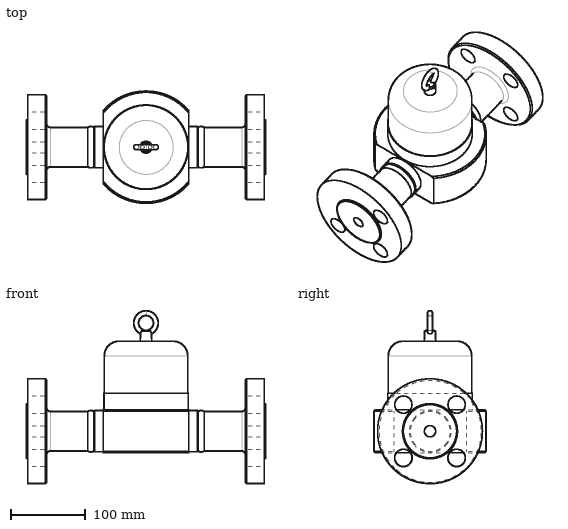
import cadquery as cq

length = 320.0
half_length = length / 2

flange_diameter = 140.0
flange_thickness = 25.5
flange_chamfer = 2.0
raised_face_height = 2.0
raised_face_diameter = 73.5
raised_face_chamfer = 1.3
bolt_hole_diameter = 23.0
bolt_hole_offset = 35.5
bore_diameter = 15.0

pipe_diameter = 53.0
pipe_root_fillet = 4.8
neck_diameter = 55.5
bead_length = 7.7
bead_rise = 1.3
neck_start = 68.5
groove_width = 1.3

body_diameter = 150.0
body_height = 57.5
body_flat_width = 114.5
body_chamfer = 2.0

collar_diameter = 113.0
collar_top = 51.0
cap_diameter = 111.7
cap_top = 120.3
cap_fillet = 20.0

post_base_diameter = 15.7
post_top_diameter = 14.7
post_top = 135.0
post_chamfer = 2.0
ring_outer_diameter = 33.0
ring_wire_diameter = 6.7
ring_top = 161.0


def upright_cylinder(diameter, bottom, top):
    return cq.Workplane("XY").workplane(offset=bottom).circle(diameter / 2).extrude(top - bottom)


def make_body():
    disc = upright_cylinder(body_diameter, -body_height / 2, body_height / 2).faces("|Z").chamfer(body_chamfer)
    flats = cq.Workplane("XY").box(body_flat_width, body_diameter, body_height)
    return disc.intersect(flats)


def make_cap():
    collar = upright_cylinder(collar_diameter, 0, collar_top)
    dome = upright_cylinder(cap_diameter, 0, cap_top).faces(">Z").edges().fillet(cap_fillet)
    return collar.union(dome)


def make_lifting_eye():
    base_radius = post_base_diameter / 2
    top_radius = post_top_diameter / 2
    post = (
        cq.Workplane("XZ")
        .moveTo(0, 0)
        .lineTo(base_radius, 0)
        .lineTo(base_radius, cap_top)
        .lineTo(top_radius, post_top - post_chamfer)
        .lineTo(top_radius - post_chamfer, post_top)
        .lineTo(0, post_top)
        .close()
        .revolve(360, (0, 0, 0), (0, 1, 0))
    )
    ring_radius = (ring_outer_diameter - ring_wire_diameter) / 2
    ring_center = ring_top - ring_outer_diameter / 2
    ring = cq.Solid.makeTorus(
        ring_radius, ring_wire_diameter / 2, cq.Vector(0, 0, ring_center), cq.Vector(0, 1, 0)
    )
    return post.union(cq.Workplane(ring))


def make_end():
    """Pipe stub and flange on the -X side, revolved about the X axis."""
    pipe_radius = pipe_diameter / 2
    neck_radius = neck_diameter / 2
    flange_radius = flange_diameter / 2
    face_radius = raised_face_diameter / 2
    flange_front = -half_length + raised_face_height
    flange_back = flange_front + flange_thickness
    bead_end = -neck_start - groove_width
    bead_start = bead_end - bead_length
    profile = (
        cq.Workplane("XY")
        .moveTo(-half_length, 0)
        .lineTo(-half_length, face_radius - raised_face_chamfer)
        .lineTo(-half_length + raised_face_chamfer, face_radius)
        .lineTo(flange_front, face_radius)
        .lineTo(flange_front, flange_radius)
        .lineTo(flange_back - flange_chamfer, flange_radius)
        .lineTo(flange_back, flange_radius - flange_chamfer)
        .lineTo(flange_back, pipe_radius + pipe_root_fillet)
        .radiusArc((flange_back + pipe_root_fillet, pipe_radius), -pipe_root_fillet)
        .lineTo(bead_start, pipe_radius)
        .threePointArc((bead_start + bead_length / 2, pipe_radius + bead_rise), (bead_end, pipe_radius))
        .lineTo(-neck_start, pipe_radius)
        .lineTo(-neck_start, neck_radius)
        .lineTo(0, neck_radius)
        .lineTo(0, 0)
        .close()
    )
    return profile.revolve(360, (0, 0, 0), (1, 0, 0))


def flange_holes(side, diameter, points):
    """Round cutters, as deep as the flange, on the given X side at (y, z) points."""
    depth = raised_face_height + flange_thickness
    return (
        cq.Workplane("YZ")
        .workplane(offset=side * half_length)
        .pushPoints(points)
        .circle(diameter / 2)
        .extrude(-side * depth)
    )


inlet = make_end()
outlet = inlet.mirror("YZ")

three_holes = [(-bolt_hole_offset, bolt_hole_offset)]
three_holes += [(y, -bolt_hole_offset) for y in (-bolt_hole_offset, bolt_hole_offset)]
four_holes = three_holes + [(bolt_hole_offset, bolt_hole_offset)]

result = make_body().union(make_cap()).union(inlet).union(outlet).union(make_lifting_eye())

for side, bolt_points in ((-1, three_holes), (1, four_holes)):
    result = result.cut(flange_holes(side, bolt_hole_diameter, bolt_points))
    result = result.cut(flange_holes(side, bore_diameter, [(0, 0)]))